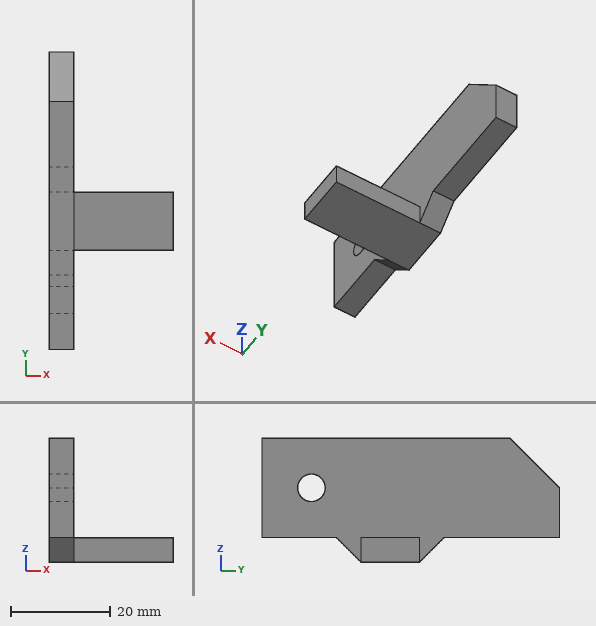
import cadquery as cq

thickness = 5.0
plate_length = 60.0
plate_height = 20.0
corner_chamfer = 10.0

tab_start = 20.0
tab_width = 11.75
tab_reach = 25.0
tab_end = tab_start + tab_width

hole_diameter = 5.5
hole_from_end = 10.0
hole_height = thickness + plate_height / 2

overall_height = thickness + plate_height


def make_plate():
    """Plate with one cut corner and a 45 degree flared foot that meets the tab."""
    flare = thickness
    outline = [
        (0, thickness),
        (tab_start - flare, thickness),
        (tab_start, 0),
        (tab_end, 0),
        (tab_end + flare, thickness),
        (plate_length, thickness),
        (plate_length, overall_height - corner_chamfer),
        (plate_length - corner_chamfer, overall_height),
        (0, overall_height),
    ]
    return cq.Workplane("YZ").polyline(outline).close().extrude(thickness)


def make_tab():
    """Flat tab, as thick as the plate, running out along +X from the foot."""
    tab = cq.Workplane("XY").box(tab_reach, tab_width, thickness, centered=False)
    return tab.translate((0, tab_start, 0))


def make_hole():
    """Cylinder that cuts the mounting hole through the plate."""
    center = cq.Workplane("YZ").center(hole_from_end, hole_height)
    return center.circle(hole_diameter / 2).extrude(thickness)


result = make_plate().union(make_tab()).cut(make_hole())